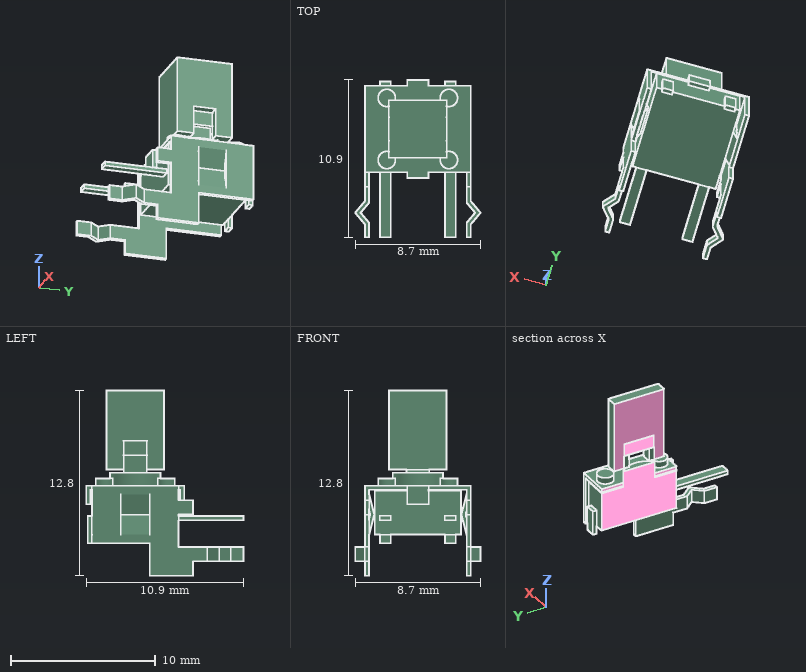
import cadquery as cq
import math


body_width = 6.0
body_top = -0.35
body_bottom = -3.4
peg_diameter = 1.2
peg_offset = 2.15
peg_top = 0.5
collar_diameter = 3.5
collar_top = 0.9

neck_width = 1.6
head_width = 2.4
head_bottom = 2.1
head_top = 3.1

cap_width = 4.0
cap_bottom = 1.1
cap_height = 5.5

sheet = 0.3
lead_width = 0.75
lead_offset = 2.25
lead_top = -2.1
lead_tip_y = -7.5
lead_tail_bottom = -4.0

frame_width = 7.35
frame_depth = body_width
side_bottom = -4.0
foot_bottom = -6.25
foot_rear_y = -1.0
foot_front_y = -4.0
ear_top = -1.0
ear_height = 1.0
arm_top = -4.25
arm_height = 1.0

kink_start_y = -5.0
kink_half_length = 0.8
kink_peak_x = 4.35

tab_width = 1.5
tab_outer_y = 3.4
tab_bottom = -1.3

dent_width = 2.0
dent_top = -0.6
dent_bottom = -3.4
dent_depth = 0.36

half_frame = frame_width / 2
half_depth = frame_depth / 2


def block(x_range, y_range, z_range):
    """Box between the given limits along X, Y and Z."""
    x0, x1 = x_range
    y0, y1 = y_range
    z0, z1 = z_range
    return cq.Workplane("XY").box(x1 - x0, y1 - y0, z1 - z0, centered=False).translate((x0, y0, z0))


def post(width, bottom, top):
    """Square post centred on the button axis."""
    half = width / 2
    return block((-half, half), (-half, half), (bottom, top))


def collar(bottom, top):
    """Round collar at the base of the stem."""
    return cq.Workplane("XY").workplane(offset=bottom).circle(collar_diameter / 2).extrude(top - bottom)


def pegs(bottom, top):
    """Four round pegs near the corners of the housing."""
    return (
        cq.Workplane("XY")
        .workplane(offset=bottom)
        .rect(2 * peg_offset, 2 * peg_offset, forConstruction=True)
        .vertices()
        .circle(peg_diameter / 2)
        .extrude(top - bottom)
    )


def lead(x_center):
    """Flat lead with a long straight tip at the front and a short tail folded down at the rear."""
    x_range = (x_center - lead_width / 2, x_center + lead_width / 2)
    rear = half_depth + sheet
    strip = block(x_range, (lead_tip_y, rear), (lead_top - sheet, lead_top))
    tail = block(x_range, (half_depth, rear), (lead_tail_bottom, lead_top))
    return strip.union(tail)


def make_housing():
    """Moulded body with pegs, collar, stem and leads."""
    housing = post(body_width, body_bottom, body_top)
    housing = housing.union(collar(body_top, collar_top)).union(pegs(body_top, peg_top))
    housing = housing.union(post(neck_width, collar_top, head_bottom))
    housing = housing.union(post(head_width, head_bottom, head_top))
    for side in (-1, 1):
        housing = housing.union(lead(side * lead_offset))
    return housing


def make_cap():
    """Square button cap with a pocket for the stem and a window through each X wall."""
    cap = post(cap_width, cap_bottom, cap_bottom + cap_height)
    cap = cap.cut(post(head_width, cap_bottom, head_top))
    half_cap = cap_width / 2
    half_neck = neck_width / 2
    window = block((-half_cap, half_cap), (-half_neck, half_neck), (cap_bottom, head_top))
    return cap.cut(window)


def dent_wedge(face_x, half_height, peak_x):
    """Triangular prism that narrows inward from the X face to a peak at mid-height of the dent."""
    middle = (dent_top + dent_bottom) / 2
    profile = [(face_x, middle + half_height), (peak_x, middle), (face_x, middle - half_height)]
    return cq.Workplane("XZ").polyline(profile).close().extrude(dent_width / 2, both=True)


def add_dent(plate):
    """Press a V of constant sheet thickness inward into the +X side plate."""
    outer_half_height = (dent_top - dent_bottom) / 2
    slope = math.atan2(dent_depth, outer_half_height)
    inner_half_height = outer_half_height + sheet * math.tan(slope / 2)
    outer_peak_x = half_frame - dent_depth
    inner_peak_x = outer_peak_x - sheet / math.cos(slope)
    bulge = dent_wedge(half_frame - sheet, inner_half_height, inner_peak_x)
    hollow = dent_wedge(half_frame, outer_half_height, outer_peak_x)
    return plate.union(bulge).cut(hollow)


def arm():
    """Arm of the +X side plate, kinked outward near its tip."""
    outer_x = half_frame
    inner_x = outer_x - sheet
    slope = math.atan2(kink_peak_x - outer_x, kink_half_length)
    bend_shift = sheet * math.tan(slope / 2)
    peak_y = kink_start_y - kink_half_length
    kink_end_y = peak_y - kink_half_length
    profile = [
        (outer_x, -half_depth),
        (outer_x, kink_start_y),
        (kink_peak_x, peak_y),
        (outer_x, kink_end_y),
        (outer_x, lead_tip_y),
        (inner_x, lead_tip_y),
        (inner_x, kink_end_y + bend_shift),
        (kink_peak_x - sheet / math.cos(slope), peak_y),
        (inner_x, kink_start_y - bend_shift),
        (inner_x, -half_depth),
    ]
    arm_plane = cq.Workplane("XY").workplane(offset=arm_top - arm_height)
    return arm_plane.polyline(profile).close().extrude(arm_height)


def side_plate():
    """The +X side of the frame, with its foot, ear, arm and dent."""
    x_range = (half_frame - sheet, half_frame)
    plate = block(x_range, (-half_depth, half_depth), (side_bottom, 0))
    plate = plate.union(block(x_range, (-half_depth, foot_rear_y), (foot_bottom, side_bottom)))
    plate = plate.union(block(x_range, (foot_front_y, -half_depth), (foot_bottom, arm_top)))
    plate = plate.union(block(x_range, (foot_front_y, -half_depth), (ear_top - ear_height, ear_top)))
    plate = plate.union(arm())
    return add_dent(plate)


def front_tab():
    """Tab folded down from the front edge of the top plate."""
    x_range = (-tab_width / 2, tab_width / 2)
    tongue = block(x_range, (-tab_outer_y, -half_depth), (-sheet, 0))
    flap = block(x_range, (-tab_outer_y, sheet - tab_outer_y), (tab_bottom, 0))
    return tongue.union(flap)


def make_frame():
    """Sheet-metal frame that wraps over the housing, open around its pegs and collar."""
    frame = block((-half_frame, half_frame), (-half_depth, half_depth), (-sheet, 0))
    for plate in (side_plate(), side_plate().mirror("YZ")):
        frame = frame.union(plate)
    for tab in (front_tab(), front_tab().mirror("XZ")):
        frame = frame.union(tab)
    return frame.cut(collar(-sheet, 0)).cut(pegs(-sheet, 0))


housing = make_housing()
frame = make_frame()
cap = make_cap()

result = cq.Compound.makeCompound([housing.val(), frame.val(), cap.val()])